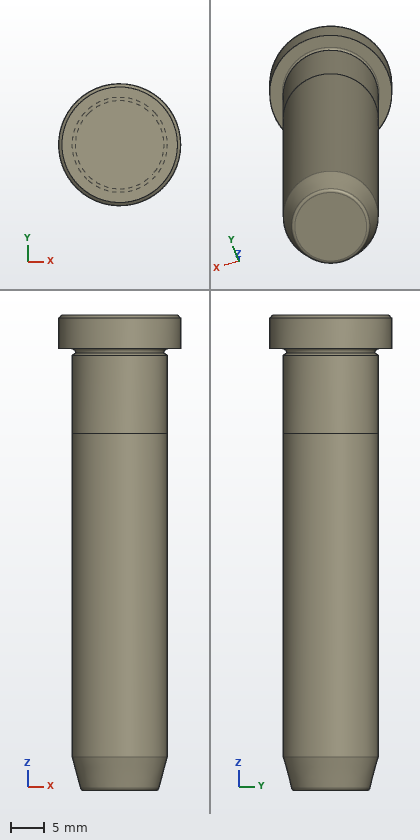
import cadquery as cq
import math

total_length = 70.0
head_diameter = 18.0
head_height = 5.0
head_chamfer = 0.5
shank_diameter = 14.0

groove_depth = 0.5
groove_cone_height = 0.35
groove_fillet = 0.6

upper_length = 17.4

tip_length = 5.0
tip_angle = 15.0
tip_fillet = 0.5

head_radius = head_diameter / 2
shank_radius = shank_diameter / 2
groove_radius = shank_radius - groove_depth
tip_radius = shank_radius - tip_length * math.tan(math.radians(tip_angle))

top_z = total_length / 2
bottom_z = -total_length / 2
head_bottom_z = top_z - head_height
groove_bottom_z = head_bottom_z - groove_fillet - groove_cone_height
split_z = top_z - upper_length
taper_start_z = bottom_z + tip_length


def make_headed_upper():
    """Chamfered head on a plain shank, with a rounded undercut between them."""
    arc_middle_offset = groove_fillet * (1 - math.sqrt(0.5))
    profile = (
        cq.Workplane("XZ")
        .moveTo(0, split_z)
        .lineTo(shank_radius, split_z)
        .lineTo(shank_radius, groove_bottom_z)
        .lineTo(groove_radius, head_bottom_z - groove_fillet)
        .threePointArc(
            (groove_radius + arc_middle_offset, head_bottom_z - arc_middle_offset),
            (groove_radius + groove_fillet, head_bottom_z),
        )
        .lineTo(head_radius, head_bottom_z)
        .lineTo(head_radius, top_z - head_chamfer)
        .lineTo(head_radius - head_chamfer, top_z)
        .lineTo(0, top_z)
        .close()
    )
    return profile.revolve(360, (0, 0, 0), (0, 1, 0))


def make_lower_shaft():
    """Plain shaft with a conical lead-in and a rounded bottom edge."""
    profile = (
        cq.Workplane("XZ")
        .moveTo(0, bottom_z)
        .lineTo(tip_radius, bottom_z)
        .lineTo(shank_radius, taper_start_z)
        .lineTo(shank_radius, split_z)
        .lineTo(0, split_z)
        .close()
    )
    shaft = profile.revolve(360, (0, 0, 0), (0, 1, 0))
    return shaft.faces("<Z").edges().fillet(tip_fillet)


headed_upper = make_headed_upper()
lower_shaft = make_lower_shaft()

result = cq.Compound.makeCompound([headed_upper.val(), lower_shaft.val()])